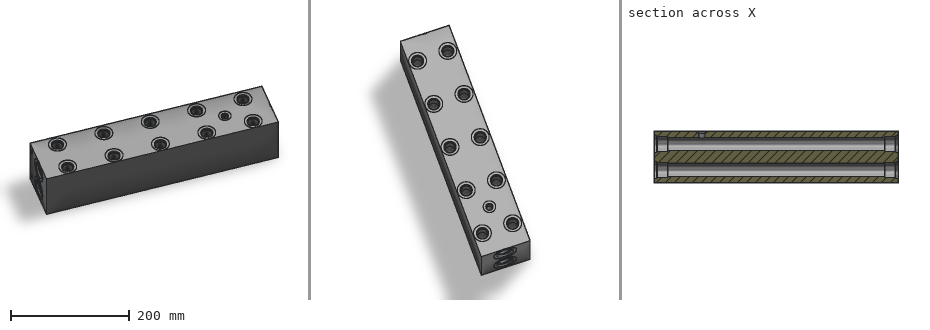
import cadquery as cq
import math

LENGTH = 412.8
SIDE = 87.5
HALF_LENGTH = LENGTH / 2
HALF_SIDE = SIDE / 2

SPOTFACE_DEPTH = 1.0
SEAL_HALF_ANGLE = 12.0
DRILL_POINT_ANGLE = 118.0

PORT_AXIS_X = 1.0

GALLERY_Z = SIDE / 4
GALLERY_DIAMETER = 22.0
GALLERY_SPOTFACE_DIAMETER = 41.0
GALLERY_SEAL_DIAMETER = 29.5
GALLERY_SEAL_DEPTH = 3.5
GALLERY_THREAD_DIAMETER = 24.8
GALLERY_THREAD_DEPTH = 22.5

PORT_ROW_SPACING = 54.0
PORT_COUNT = 5
PORT_PITCH = 82.5
PORT_LAST_Y = 166.8
PORT_SPOTFACE_DIAMETER = 30.0
PORT_SEAL_DIAMETER = 20.5
PORT_SEAL_DEPTH = 2.5
PORT_THREAD_DIAMETER = 17.5
PORT_DEPTH = 20.0

GAUGE_Y = PORT_LAST_Y - PORT_PITCH / 2
GAUGE_SPOTFACE_DIAMETER = 21.0
GAUGE_SEAL_DIAMETER = 12.5
GAUGE_SEAL_DEPTH = 2.5
GAUGE_THREAD_DIAMETER = 10.0
GAUGE_DEPTH = HALF_SIDE - GALLERY_Z

MOUNT_X = -36.0
MOUNT_Z = 29.7
MOUNT_CHAMFER_DIAMETER = 8.5
MOUNT_THREAD_DIAMETER = 6.5
MOUNT_DEPTH = 20.0


def drill_point_length(radius):
    return radius / math.tan(math.radians(DRILL_POINT_ANGLE / 2))


def sealed_port(spotface_diameter, seal_diameter, seal_depth, thread_diameter, depth):
    """Cutter along -Z from the origin: spotface, seal cone, 45 degree lead-in, thread bore, drill point."""
    spotface_radius = spotface_diameter / 2
    seal_radius = seal_diameter / 2
    thread_radius = thread_diameter / 2
    seal_end_radius = seal_radius - seal_depth * math.tan(math.radians(SEAL_HALF_ANGLE))
    seal_end = -SPOTFACE_DEPTH - seal_depth
    thread_start = seal_end - (seal_end_radius - thread_radius)
    return (
        cq.Workplane("XZ")
        .lineTo(spotface_radius, 0)
        .lineTo(spotface_radius, -SPOTFACE_DEPTH)
        .lineTo(seal_radius, -SPOTFACE_DEPTH)
        .lineTo(seal_end_radius, seal_end)
        .lineTo(thread_radius, thread_start)
        .lineTo(thread_radius, -depth)
        .lineTo(0, -depth - drill_point_length(thread_radius))
        .close()
        .revolve(360, (0, 0, 0), (0, 1, 0))
    )


def chamfered_hole(chamfer_diameter, diameter, depth):
    """Cutter along -Z from the origin: 45 degree chamfer, bore, drill point."""
    chamfer_radius = chamfer_diameter / 2
    radius = diameter / 2
    return (
        cq.Workplane("XZ")
        .lineTo(chamfer_radius, 0)
        .lineTo(radius, radius - chamfer_radius)
        .lineTo(radius, -depth)
        .lineTo(0, -depth - drill_point_length(radius))
        .close()
        .revolve(360, (0, 0, 0), (0, 1, 0))
    )


def enter_front(cutter, x, z):
    """Turn a cutter to enter the -Y face at (x, z)."""
    return cutter.rotate((0, 0, 0), (1, 0, 0), 90).translate((x, -HALF_LENGTH, z))


result = cq.Workplane("XY").box(SIDE, LENGTH, SIDE)

gallery_bore = cq.Workplane("XZ").circle(GALLERY_DIAMETER / 2).extrude(HALF_LENGTH, both=True)
gallery_port = sealed_port(
    GALLERY_SPOTFACE_DIAMETER,
    GALLERY_SEAL_DIAMETER,
    GALLERY_SEAL_DEPTH,
    GALLERY_THREAD_DIAMETER,
    GALLERY_THREAD_DEPTH,
)
for gallery_z in (-GALLERY_Z, GALLERY_Z):
    front_port = enter_front(gallery_port, PORT_AXIS_X, gallery_z)
    back_port = front_port.mirror("XZ")
    result = result.cut(gallery_bore.translate((PORT_AXIS_X, 0, gallery_z)))
    result = result.cut(front_port).cut(back_port)

top_port = sealed_port(
    PORT_SPOTFACE_DIAMETER, PORT_SEAL_DIAMETER, PORT_SEAL_DEPTH, PORT_THREAD_DIAMETER, PORT_DEPTH
)
for row_offset in (-PORT_ROW_SPACING / 2, PORT_ROW_SPACING / 2):
    for index in range(PORT_COUNT):
        port_y = PORT_LAST_Y - index * PORT_PITCH
        result = result.cut(top_port.translate((PORT_AXIS_X + row_offset, port_y, HALF_SIDE)))

gauge_port = sealed_port(
    GAUGE_SPOTFACE_DIAMETER, GAUGE_SEAL_DIAMETER, GAUGE_SEAL_DEPTH, GAUGE_THREAD_DIAMETER, GAUGE_DEPTH
)
result = result.cut(gauge_port.translate((PORT_AXIS_X, GAUGE_Y, HALF_SIDE)))

mounting_hole = chamfered_hole(MOUNT_CHAMFER_DIAMETER, MOUNT_THREAD_DIAMETER, MOUNT_DEPTH)
for mount_z in (-MOUNT_Z, MOUNT_Z):
    result = result.cut(enter_front(mounting_hole, MOUNT_X, mount_z))